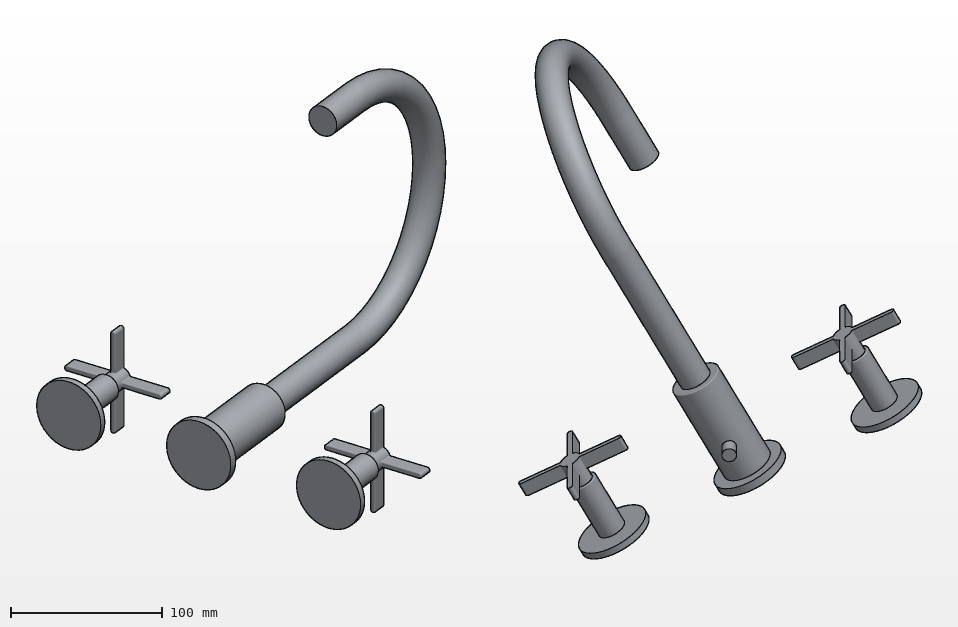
import cadquery as cq
HANDLE_SPACING = 203.2

PLATE_DIAMETER = 50.2
SPOUT_PLATE_THICKNESS = 6.0
HANDLE_PLATE_THICKNESS = 5.0

SLEEVE_DIAMETER = 34.5
SLEEVE_END = 79.0
TUBE_DIAMETER = 22.0
BEND_RADIUS = 90.5
TUBE_REACH = 292.0
TIP_END = 151.2
PIN_DIAMETER = 9.5
PIN_POSITION = 31.8
PIN_LENGTH = 28.0

HUB_DIAMETER = 19.3
HUB_END = 46.0
STEM_DIAMETER = 14.3
STEM_END = 64.2
ARM_SPAN = 76.2
ARM_WIDTH = 10.5
ARM_THICKNESS = 4.0

RIM_ROUND = 0.5
ROOT_ROUND = 0.5
ARM_ROUND = 1.0
SELECTION_MARGIN = 0.3


def rod(diameter, start, end):
    """Cylinder on the Y axis between two Y positions."""
    return cq.Workplane("XZ", origin=(0, start, 0)).circle(diameter / 2).extrude(start - end)


def round_rimmed_rod(diameter, start, end):
    """Cylinder on the Y axis with both rims rounded."""
    return rod(diameter, start, end).edges("%CIRCLE").fillet(RIM_ROUND)


def make_plate(thickness):
    return rod(PLATE_DIAMETER, 0, thickness)


def spout_tube():
    """Tube that leaves the sleeve, turns back in a half circle and ends facing -Y."""
    bend_start = TUBE_REACH - TUBE_DIAMETER / 2 - BEND_RADIUS
    top = 2 * BEND_RADIUS
    path = (
        cq.Workplane("YZ")
        .moveTo(SLEEVE_END, 0)
        .lineTo(bend_start, 0)
        .threePointArc((bend_start + BEND_RADIUS, BEND_RADIUS), (bend_start, top))
        .lineTo(TIP_END, top)
    )
    profile = cq.Workplane("XZ", origin=(0, SLEEVE_END, 0)).circle(TUBE_DIAMETER / 2)
    return profile.sweep(path)


def spout_pin():
    """Short round pin that points down from the sleeve."""
    return (
        cq.Workplane("XY", origin=(0, PIN_POSITION, 0))
        .circle(PIN_DIAMETER / 2)
        .extrude(-PIN_LENGTH)
    )


def make_spout():
    sleeve = round_rimmed_rod(SLEEVE_DIAMETER, SPOUT_PLATE_THICKNESS, SLEEVE_END)
    return sleeve.union(spout_pin()).union(spout_tube())


def cross_bar(angle):
    """One bar of the cross: flush with the stem end, with half-round tips and rounded front edges."""
    return (
        cq.Workplane("XZ", origin=(0, STEM_END, 0))
        .slot2D(ARM_SPAN, ARM_THICKNESS, angle)
        .extrude(ARM_WIDTH)
        .faces("<Y")
        .edges()
        .fillet(ARM_ROUND)
    )


def stem_with_cross():
    """Stem that carries the two crossed bars, rounded where they meet it."""
    stem = rod(STEM_DIAMETER, HANDLE_PLATE_THICKNESS, STEM_END)
    cross = stem.union(cross_bar(0)).union(cross_bar(90))
    stem_radius = STEM_DIAMETER / 2
    arm_roots = cq.selectors.BoxSelector(
        (-stem_radius, STEM_END - ARM_WIDTH - SELECTION_MARGIN, -stem_radius),
        (stem_radius, STEM_END - SELECTION_MARGIN, stem_radius),
    )
    return cross.edges(arm_roots).fillet(ROOT_ROUND)


def make_handle():
    hub = round_rimmed_rod(HUB_DIAMETER, HANDLE_PLATE_THICKNESS, HUB_END)
    return hub.union(stem_with_cross())


spout_plate = make_plate(SPOUT_PLATE_THICKNESS)
spout = make_spout()
handle_plates = []
handles = []
for side in (-1, 1):
    place = (side * HANDLE_SPACING / 2, 0, 0)
    handle_plates.append(make_plate(HANDLE_PLATE_THICKNESS).translate(place).val())
    handles.append(make_handle().translate(place).val())

result = cq.Compound.makeCompound([spout_plate.val(), spout.val(), *handle_plates, *handles])